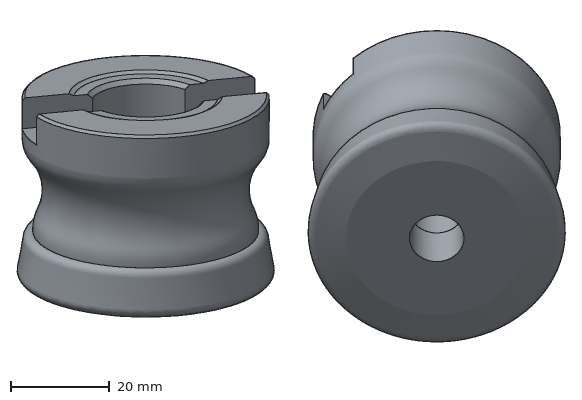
import cadquery as cq
import math

TOTAL_HEIGHT = 40.0
FOOT_HEIGHT = 11.0

TAPER_ANGLE = math.radians(10)
FOOT_CORNER_RADIUS = 26.25
FOOT_FLAT_RADIUS = 18.3
FOOT_TOP_FILLET = 1.8
FOOT_BOTTOM_FILLET = 1.65

HEAD_RADIUS = 50.0 / 2
HEAD_CHAMFER = 0.55
SHOULDER_ARC_RADIUS = 5.0
WAIST_RADIUS = 20.95
WAIST_Z = 19.85
WAIST_ARC_RADIUS = 12.0
SKIRT_RADIUS = 45.7 / 2
SKIRT_ARC_Z = 11.4

SLOT_WIDTH = 10.3
SLOT_DEPTH = 6.55

BORE_RADIUS = 22.0 / 2
BORE_FLOOR_Z = TOTAL_HEIGHT / 2
RIM_OUTER_RADIUS = 15.55
RIM_INNER_RADIUS = 14.55
RIM_DEPTH = 0.5
BORE_CHAMFER = 0.95
HOLE_RADIUS = 11.0 / 2
HOLE_CHAMFER = 0.5


def point_on_circle(center, radius, angle):
    return center[0] + radius * math.cos(angle), center[1] + radius * math.sin(angle)


def make_foot():
    corner_z = (FOOT_CORNER_RADIUS - FOOT_FLAT_RADIUS) * math.tan(TAPER_ANGLE)
    top_radius = FOOT_CORNER_RADIUS - (FOOT_HEIGHT - corner_z) * math.tan(TAPER_ANGLE)
    blank = (
        cq.Workplane("XZ")
        .polyline([
            (0, 0),
            (FOOT_FLAT_RADIUS, 0),
            (FOOT_CORNER_RADIUS, corner_z),
            (top_radius, FOOT_HEIGHT),
            (0, FOOT_HEIGHT),
        ])
        .close()
        .revolve(360, (0, 0), (0, 1))
    )
    blank = blank.faces(">Z").edges().fillet(FOOT_TOP_FILLET)
    lower_corner = cq.selectors.BoxSelector(
        (-FOOT_CORNER_RADIUS - 0.5, -FOOT_CORNER_RADIUS - 0.5, corner_z / 2),
        (FOOT_CORNER_RADIUS + 0.5, FOOT_CORNER_RADIUS + 0.5, corner_z * 3 / 2),
        boundingbox=True,
    )
    blank = blank.edges(lower_corner).fillet(FOOT_BOTTOM_FILLET)
    return blank.cut(cq.Workplane("XY").circle(HOLE_RADIUS).extrude(FOOT_HEIGHT))


def make_knob_blank():
    waist_center = (WAIST_RADIUS + WAIST_ARC_RADIUS, WAIST_Z)

    shoulder_x = HEAD_RADIUS - SHOULDER_ARC_RADIUS
    center_gap = WAIST_ARC_RADIUS + SHOULDER_ARC_RADIUS
    shoulder_angle = math.acos((waist_center[0] - shoulder_x) / center_gap)
    shoulder_center = (shoulder_x, WAIST_Z + center_gap * math.sin(shoulder_angle))

    skirt_gap_x = waist_center[0] - SKIRT_RADIUS
    skirt_gap_z = WAIST_Z - SKIRT_ARC_Z
    skirt_arc_radius = (skirt_gap_x**2 + skirt_gap_z**2 - WAIST_ARC_RADIUS**2) / (
        2 * (WAIST_ARC_RADIUS - skirt_gap_x)
    )
    skirt_center = (SKIRT_RADIUS - skirt_arc_radius, SKIRT_ARC_Z)
    skirt_angle = math.asin(skirt_gap_z / (WAIST_ARC_RADIUS + skirt_arc_radius))

    return (
        cq.Workplane("XZ")
        .moveTo(0, FOOT_HEIGHT)
        .lineTo(SKIRT_RADIUS, FOOT_HEIGHT)
        .lineTo(SKIRT_RADIUS, SKIRT_ARC_Z)
        .threePointArc(
            point_on_circle(skirt_center, skirt_arc_radius, skirt_angle / 2),
            point_on_circle(skirt_center, skirt_arc_radius, skirt_angle),
        )
        .threePointArc(
            (WAIST_RADIUS, WAIST_Z),
            point_on_circle(shoulder_center, SHOULDER_ARC_RADIUS, -shoulder_angle),
        )
        .threePointArc(
            point_on_circle(shoulder_center, SHOULDER_ARC_RADIUS, -shoulder_angle / 2),
            (HEAD_RADIUS, shoulder_center[1]),
        )
        .lineTo(HEAD_RADIUS, TOTAL_HEIGHT - HEAD_CHAMFER)
        .lineTo(HEAD_RADIUS - HEAD_CHAMFER, TOTAL_HEIGHT)
        .lineTo(0, TOTAL_HEIGHT)
        .close()
        .revolve(360, (0, 0), (0, 1))
    )


def make_bore_cutter():
    rim_z = TOTAL_HEIGHT - RIM_DEPTH
    return (
        cq.Workplane("XZ")
        .polyline([
            (0, FOOT_HEIGHT),
            (HOLE_RADIUS, FOOT_HEIGHT),
            (HOLE_RADIUS, BORE_FLOOR_Z - HOLE_CHAMFER),
            (HOLE_RADIUS + HOLE_CHAMFER, BORE_FLOOR_Z),
            (BORE_RADIUS, BORE_FLOOR_Z),
            (BORE_RADIUS, rim_z - BORE_CHAMFER),
            (BORE_RADIUS + BORE_CHAMFER, rim_z),
            (RIM_INNER_RADIUS, rim_z),
            (RIM_OUTER_RADIUS, TOTAL_HEIGHT),
            (0, TOTAL_HEIGHT),
        ])
        .close()
        .revolve(360, (0, 0), (0, 1))
    )


def make_slot_cutter():
    return (
        cq.Workplane("XY", origin=(0, 0, TOTAL_HEIGHT - SLOT_DEPTH))
        .rect(SLOT_WIDTH, 2 * HEAD_RADIUS)
        .extrude(SLOT_DEPTH)
    )


def make_knob():
    return make_knob_blank().cut(make_bore_cutter()).cut(make_slot_cutter())


foot = make_foot().solids()
knob = make_knob().solids()

result = cq.Compound.makeCompound([foot.val(), knob.val()])